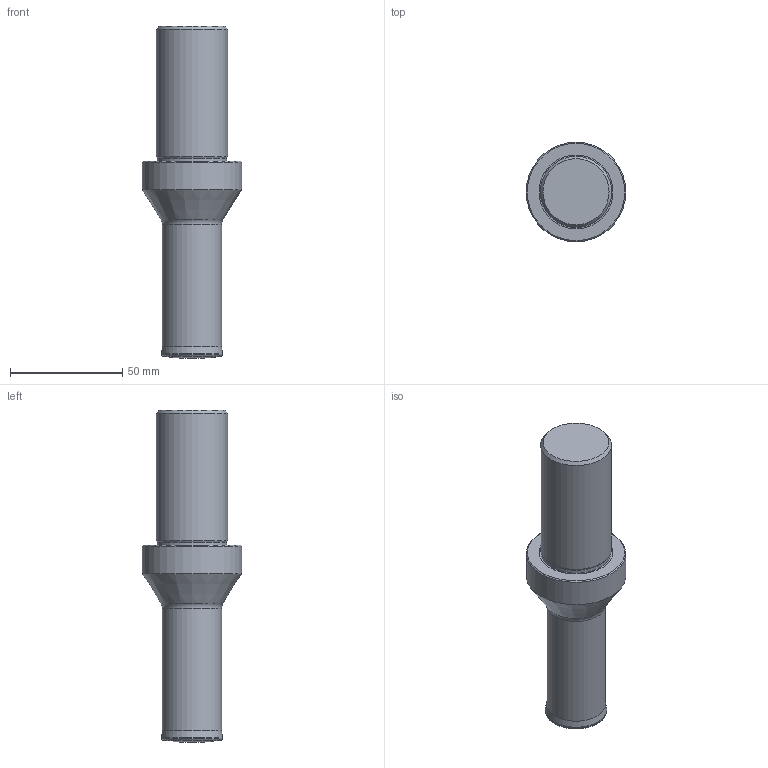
import cadquery as cq
import math

total_length = 148.21
shank_bottom = 89.9
collar_top = 87.85
collar_bottom = 75.1
stem_top = 59.5
flare_top = 5.0
tip_joint = 2.0

shank_radius = 31.75 / 2
shank_chamfer_radial = 1.1
shank_chamfer_height = 1.5

neck_radius = 15.5
neck_slope_height = 0.7
face_groove_radius = 16.5
face_groove_depth = 0.3

collar_radius = 44.45 / 2
collar_chamfer = 0.5
stem_radius = 13.2
shoulder_fillet = 4.0
taper_angle = math.radians(32)

rim_radius = 13.7
rim_bottom = 1.6
corner_radius = 0.8
end_flat_radius = 5.6
dome_sag = 0.1


def revolve_about_z(profile):
    return profile.close().revolve(360, (0, 0, 0), (0, 1, 0))


def make_holder():
    fillet_end = (
        stem_radius + shoulder_fillet * (1 - math.cos(taper_angle)),
        stem_top + shoulder_fillet * math.sin(taper_angle),
    )
    profile = (
        cq.Workplane("XZ")
        .moveTo(0, tip_joint)
        .lineTo(rim_radius, tip_joint)
        .lineTo(stem_radius, flare_top)
        .lineTo(stem_radius, stem_top)
        .radiusArc(fillet_end, shoulder_fillet)
        .lineTo(collar_radius, collar_bottom)
        .lineTo(collar_radius, collar_top - collar_chamfer)
        .lineTo(collar_radius - collar_chamfer, collar_top)
        .lineTo(face_groove_radius, collar_top)
        .lineTo(face_groove_radius, collar_top - face_groove_depth)
        .lineTo(neck_radius, collar_top - face_groove_depth)
        .lineTo(neck_radius, shank_bottom - neck_slope_height)
        .lineTo(shank_radius, shank_bottom)
        .lineTo(shank_radius, total_length - shank_chamfer_height)
        .lineTo(shank_radius - shank_chamfer_radial, total_length)
        .lineTo(0, total_length)
    )
    return revolve_about_z(profile)


def make_tip():
    corner_inner_radius = rim_radius - corner_radius
    corner_bottom = rim_bottom - corner_radius
    profile = (
        cq.Workplane("XZ")
        .moveTo(0, tip_joint)
        .lineTo(rim_radius, tip_joint)
        .lineTo(rim_radius, rim_bottom)
        .radiusArc((corner_inner_radius, corner_bottom), corner_radius)
        .sagittaArc((end_flat_radius, 0), dome_sag)
        .lineTo(0, 0)
    )
    return revolve_about_z(profile)


holder = make_holder()
tip = make_tip()

result = cq.Compound.makeCompound([holder.val(), tip.val()])